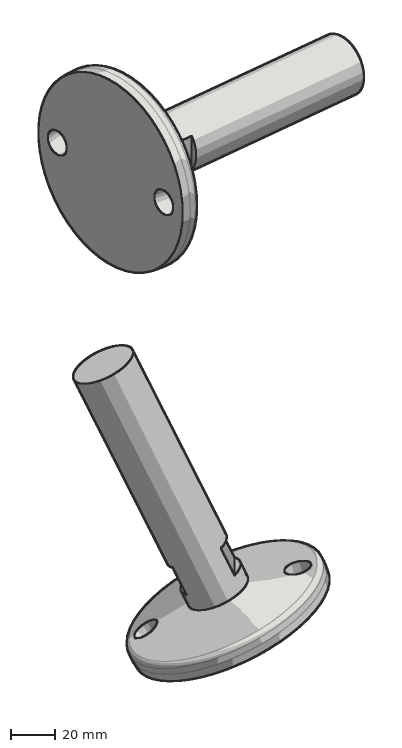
import cadquery as cq
import math

total_length = 142.0
stem_diameter = 30.0
foot_diameter = 98.0
face_diameter = 97.1
rim_start = 4.3
rim_end = 7.4
rim_fillet = 2.5
cone_slope = 10.0
flat_spacing = 24.0
flat_start = 23.9
flat_length = 15.0
hole_diameter = 12.5
hole_offset = 35.8
hole_cut_length = 56.8

stem_radius = stem_diameter / 2
foot_radius = foot_diameter / 2
cone_angle = math.radians(cone_slope)
shoulder_radius = foot_radius - rim_fillet * (1 - math.sin(cone_angle))
shoulder_height = rim_end + rim_fillet * math.cos(cone_angle)
cone_height = shoulder_height + (shoulder_radius - stem_radius) * math.tan(cone_angle)


def turned_body():
    """Foot and stem revolved about the Y axis."""
    return (
        cq.Workplane("XY")
        .lineTo(face_diameter / 2, 0)
        .lineTo(foot_radius, rim_start)
        .lineTo(foot_radius, rim_end)
        .tangentArcPoint((shoulder_radius, shoulder_height), relative=False)
        .lineTo(stem_radius, cone_height)
        .lineTo(stem_radius, total_length)
        .lineTo(0, total_length)
        .close()
        .revolve(360, (0, 0, 0), (0, 1, 0))
    )


def flat_cutter(side):
    """Block removing the stem beyond one wrench flat; side is -1 or 1."""
    return (
        cq.Workplane("XY")
        .box(stem_diameter, flat_length, stem_diameter)
        .translate((side * (flat_spacing + stem_diameter) / 2, flat_start + flat_length / 2, 0))
    )


def hole_cutter(side):
    """Cylinder through the foot, square to the cone on one side."""
    direction = cq.Vector(side * math.sin(cone_angle), math.cos(cone_angle), 0)
    underside_center = cq.Vector(side * hole_offset, 0, 0)
    start = underside_center - direction * (hole_cut_length / 2)
    return cq.Solid.makeCylinder(hole_diameter / 2, hole_cut_length, start, direction)


result = turned_body()
for side in (-1, 1):
    result = result.cut(flat_cutter(side)).cut(hole_cutter(side))